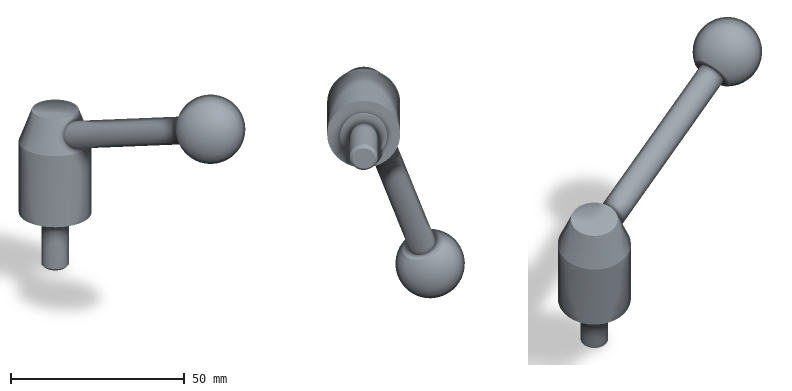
import cadquery as cq
import math

HUB_DIAMETER = 21.0
HUB_TOP_DIAMETER = 13.5
HUB_HEIGHT = 32.5
TAPER_HEIGHT = 10.0

COLLAR_DIAMETER = 13.5
COLLAR_HEIGHT = 1.0
STUD_DIAMETER = 8.0
STUD_LENGTH = 16.0
STUD_CHAMFER = 0.8

ARM_DIAMETER = 8.0
ARM_ANGLE = 20.0
BALL_DIAMETER = 20.0
BALL_FLAT_DIAMETER = 12.0
BALL_REACH = 65.0
BALL_HEIGHT = 47.85

arm_slope = math.radians(ARM_ANGLE)
arm_direction = cq.Vector(math.cos(arm_slope), 0, math.sin(arm_slope))
arm_length = BALL_REACH / math.cos(arm_slope)
arm_start = cq.Vector(0, 0, BALL_HEIGHT - BALL_REACH * math.tan(arm_slope))


def make_hub():
    """Hub, collar and chamfered stud, revolved around Z in one piece."""
    hub_radius = HUB_DIAMETER / 2
    collar_radius = COLLAR_DIAMETER / 2
    stud_radius = STUD_DIAMETER / 2
    stud_end = -COLLAR_HEIGHT - STUD_LENGTH
    profile = [
        (0, stud_end),
        (stud_radius - STUD_CHAMFER, stud_end),
        (stud_radius, stud_end + STUD_CHAMFER),
        (stud_radius, -COLLAR_HEIGHT),
        (collar_radius, -COLLAR_HEIGHT),
        (collar_radius, 0),
        (hub_radius, 0),
        (hub_radius, HUB_HEIGHT - TAPER_HEIGHT),
        (HUB_TOP_DIAMETER / 2, HUB_HEIGHT),
        (0, HUB_HEIGHT),
    ]
    return cq.Workplane("XZ").polyline(profile).close().revolve(360, (0, 0, 0), (0, 1, 0))


def make_lever():
    """Arm and ball revolved around the arm axis, which starts on the hub axis."""
    arm_radius = ARM_DIAMETER / 2
    ball_radius = BALL_DIAMETER / 2
    flat_radius = BALL_FLAT_DIAMETER / 2
    flat_position = arm_length - math.sqrt(ball_radius**2 - flat_radius**2)
    arm_plane = cq.Plane(origin=arm_start, xDir=arm_direction, normal=(0, -1, 0))
    return (
        cq.Workplane(arm_plane)
        .lineTo(0, arm_radius)
        .lineTo(flat_position, arm_radius)
        .lineTo(flat_position, flat_radius)
        .threePointArc((arm_length, ball_radius), (arm_length + ball_radius, 0))
        .close()
        .revolve(360, (0, 0, 0), (1, 0, 0))
    )


result = make_hub().union(make_lever())